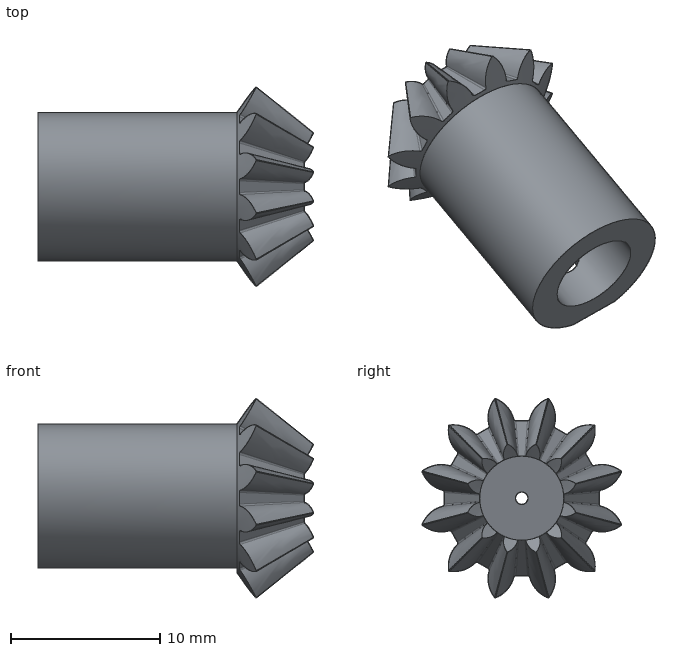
import cadquery as cq
import math

total_length = 18.49
hub_length = 13.35
hub_radius = 5.0
flat_height = 4.7

shaft_bore_radius = 3.0
pilot_radius = 0.4
screw_x = 4.0
screw_radius = 1.25

tooth_count = 12
apex_x = 23.02
tip_x = 14.65
tip_radius = 6.92
root_radius = 5.21

gap_root_width = 1.02
tip_land_width = 0.07
flank_bulge = 0.24
root_fillet = 0.15
cut_margin = 0.37

back_cone_slope = (tip_radius - hub_radius) / (tip_x - hub_length)
root_x = hub_length + (root_radius - hub_radius) / back_cone_slope

small_end_ratio = (apex_x - total_length) / (apex_x - tip_x)
small_tip_radius = tip_radius * small_end_ratio
small_root_radius = root_radius * small_end_ratio
small_root_x = apex_x - (apex_x - root_x) * small_end_ratio


def hub():
    body = cq.Workplane("YZ").circle(hub_radius).extrude(hub_length)
    below_flat = cq.Workplane("XY").box(
        hub_length, 2 * hub_radius, hub_radius, centered=(False, True, False)
    ).translate((0, 0, -flat_height - hub_radius))
    return body.cut(below_flat)


def gear_blank():
    return (
        cq.Workplane("XY")
        .moveTo(hub_length, 0)
        .lineTo(hub_length, hub_radius)
        .lineTo(tip_x, tip_radius)
        .lineTo(total_length, small_tip_radius)
        .lineTo(small_root_x, small_root_radius)
        .lineTo(small_root_x, 0)
        .close()
        .revolve(360, (0, 0, 0), (1, 0, 0))
    )


def gap_wire(x):
    """Outline of the tooth gap centred on +Z, in the plane at the given x."""
    root_scale = (apex_x - x) / (apex_x - root_x)
    tip_scale = (apex_x - x) / (apex_x - tip_x)

    root_y = gap_root_width / 2 * root_scale
    root_z = root_radius * root_scale
    tip_angle = math.pi / tooth_count - math.asin(tip_land_width / 2 / tip_radius)
    tip_y = tip_radius * tip_scale * math.sin(tip_angle)
    tip_z = tip_radius * tip_scale * math.cos(tip_angle)

    chord_y = tip_y - root_y
    chord_z = tip_z - root_z
    chord = math.hypot(chord_y, chord_z)
    bulge = flank_bulge * tip_scale
    middle_y = (root_y + tip_y) / 2 - bulge * chord_z / chord
    middle_z = (root_z + tip_z) / 2 + bulge * chord_y / chord

    top_z = tip_z + cut_margin
    outline = (
        cq.Workplane("YZ", origin=(x, 0, 0))
        .moveTo(-root_y, root_z)
        .lineTo(root_y, root_z)
        .threePointArc((middle_y, middle_z), (tip_y, tip_z))
        .lineTo(tip_y, top_z)
        .lineTo(-tip_y, top_z)
        .lineTo(-tip_y, tip_z)
        .threePointArc((-middle_y, middle_z), (-root_y, root_z))
        .close()
        .val()
    )
    root_corners = sorted(outline.Vertices(), key=lambda vertex: vertex.Z)[:2]
    return outline.fillet2D(root_fillet * root_scale, root_corners)


def bevel_gear():
    ends = [gap_wire(hub_length - cut_margin), gap_wire(total_length + cut_margin)]
    gap = cq.Solid.makeLoft(ends, True)
    gear = gear_blank()
    for index in range(tooth_count):
        angle = index * 360 / tooth_count
        turned_gap = gap.rotate(cq.Vector(0, 0, 0), cq.Vector(1, 0, 0), angle)
        gear = gear.cut(cq.Workplane(turned_gap))
    return gear


def bores():
    shaft_bore = cq.Workplane("YZ").circle(shaft_bore_radius).extrude(hub_length)
    pilot = cq.Workplane("YZ").circle(pilot_radius).extrude(total_length)
    screw_hole = cq.Workplane("XY").center(screw_x, 0).circle(screw_radius).extrude(-hub_radius)
    return shaft_bore.union(pilot).union(screw_hole)


result = hub().union(bevel_gear()).cut(bores())